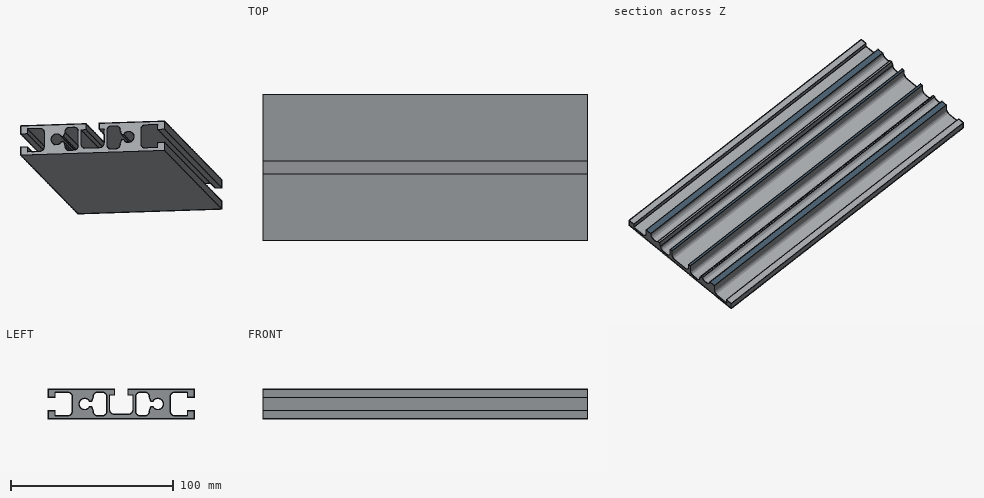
import cadquery as cq

LENGTH = 200.0
WIDTH = 90.0
HEIGHT = 18.5

SLOT_OPENING = 8.2
SLOT_CORNER_RADIUS = 2.8
SIDE_LIP = 4.2
SIDE_SLOT_DEPTH = 14.8
SKIN = 2.0
TOP_LIP = 3.8
TOP_SLOT_WIDTH = 14.5
TOP_SLOT_FLOOR = 3.0

CHANNEL_Y = WIDTH / 4
CHANNEL_RADIUS = 3.5
NECK_HEIGHT = 3.2
NECK_END_Y = 18.2
CHAMBER_OUTER_Y = 17.2
CHAMBER_WALL = 1.8
CHAMBER_CORNER_RADIUS = 2.5
CHAMBER_TAPER_Z = 4.2

CAVITY_HEIGHT = HEIGHT - 2 * SKIN


def bar(y_min, y_max, z_min, z_max):
    """Full-length rectangular bar, centred on X = 0."""
    size_y = y_max - y_min
    size_z = z_max - z_min
    middle = (0, (y_min + y_max) / 2, (z_min + z_max) / 2)
    return cq.Workplane("XY").box(LENGTH, size_y, size_z).translate(middle)


def side_slot():
    """T-slot opening on the +Y edge."""
    back_y = WIDTH / 2 - SIDE_SLOT_DEPTH
    cavity = bar(back_y, WIDTH / 2 - SIDE_LIP, -CAVITY_HEIGHT / 2, CAVITY_HEIGHT / 2)
    cavity = cavity.faces("<Y").edges("|X").fillet(SLOT_CORNER_RADIUS)
    mouth = bar(back_y, WIDTH / 2, -SLOT_OPENING / 2, SLOT_OPENING / 2)
    return cavity.union(mouth)


def top_slot():
    """T-slot opening in the middle of the top face."""
    floor_z = TOP_SLOT_FLOOR - HEIGHT / 2
    cavity = bar(-TOP_SLOT_WIDTH / 2, TOP_SLOT_WIDTH / 2, floor_z, HEIGHT / 2 - TOP_LIP)
    cavity = cavity.faces("<Z").edges("|X").fillet(SLOT_CORNER_RADIUS)
    mouth = bar(-SLOT_OPENING / 2, SLOT_OPENING / 2, floor_z, HEIGHT / 2)
    return cavity.union(mouth)


def screw_channel():
    """Round channel on the +Y side with its neck and rounded, tapered chamber."""
    inner_y = TOP_SLOT_WIDTH / 2 + CHAMBER_WALL
    chamber = bar(inner_y, CHAMBER_OUTER_Y, -CAVITY_HEIGHT / 2, CAVITY_HEIGHT / 2)
    chamber = chamber.edges("|X").fillet(CHAMBER_CORNER_RADIUS)
    taper = (
        cq.Workplane("YZ")
        .polyline([
            (CHAMBER_OUTER_Y, -CHAMBER_TAPER_Z),
            (NECK_END_Y, -NECK_HEIGHT / 2),
            (NECK_END_Y, NECK_HEIGHT / 2),
            (CHAMBER_OUTER_Y, CHAMBER_TAPER_Z),
        ])
        .close()
        .extrude(LENGTH / 2, both=True)
    )
    neck = bar(CHAMBER_OUTER_Y, CHANNEL_Y, -NECK_HEIGHT / 2, NECK_HEIGHT / 2)
    channel = (
        cq.Workplane("YZ")
        .center(CHANNEL_Y, 0)
        .circle(CHANNEL_RADIUS)
        .extrude(LENGTH / 2, both=True)
    )
    return chamber.union(taper).union(neck).union(channel)


result = bar(-WIDTH / 2, WIDTH / 2, -HEIGHT / 2, HEIGHT / 2).cut(top_slot())
for cutter in (side_slot(), screw_channel()):
    result = result.cut(cutter).cut(cutter.mirror("XZ"))